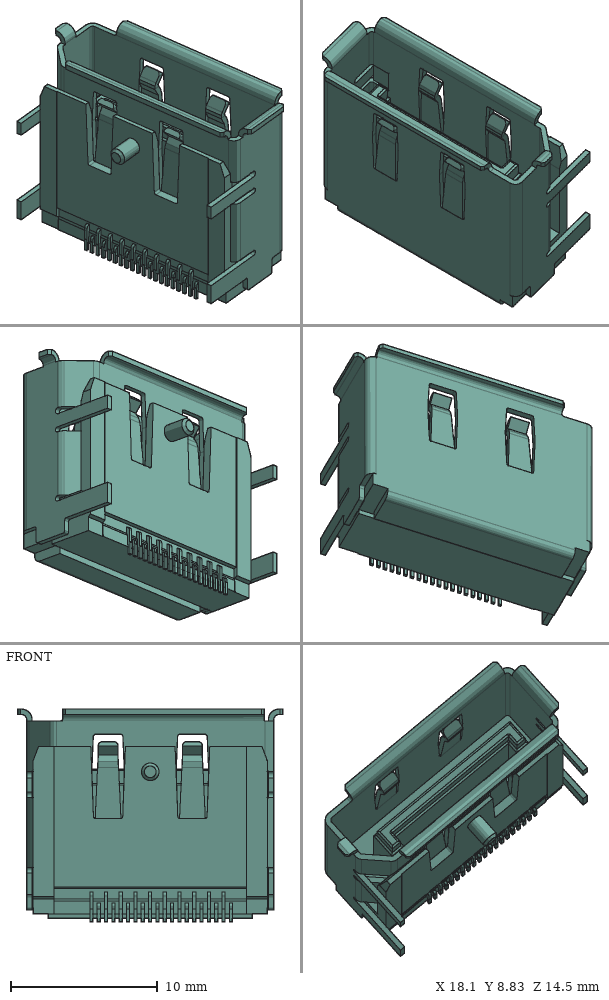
import cadquery as cq
import math

shell_width = 16.86
shell_depth = 5.55
wall = 0.38
bend_radius = 0.6
key_corner = 1.77
half_width = shell_width / 2
rear = shell_depth / 2
front = -rear
rim_z = 13.71
rear_wall_bottom_z = 2.05
skirt_bottom_z = 0.8
skirt_rear_y = rear - 1.5
skirt_front_y = rear - 4.2
skirt_radius = 0.16

top_z = 14.53
lip_reach = 0.62
lip_inner_radius = 0.36
lip_corner = 0.2
long_lip_start = -5.97
long_lip_end = 7.78
lip_root_radius = 0.18
left_tab_rear = rear - 2.17
left_tab_front = rear - 3.35
right_tab_rear = rear - 0.8
right_tab_front = rear - 4.72

tail_length = 2.66
tail_end_y = front - tail_length
upper_tail = (8.85, 9.82)
lower_tail = (1.86, 3.35)
relief_slots = ((3.35, 3.73), (8.48, 8.85), (9.82, 10.28))
slot_end_y = rear - 3.33
slot_inner_x = 6.57

finger_spacing = 5.75
finger_xs = (-finger_spacing / 2, finger_spacing / 2)
window_bottom_z = 7.05
window_wide_z = 10.31
window_top_z = 12.79
window_narrow = 1.99
window_wide = 2.2
window_radius = 0.15
finger_root_width = 1.77
finger_tip_width = 1.37
finger_tip_radius = 0.3
finger_shoulder_z = 11.22
finger_root_overlap = 0.18
finger_lean = 0.2
finger_lean_z = 10.55
finger_bend = 0.3
finger_bend_z = 10.93
finger_hollow = 0.56
finger_hollow_z = 11.38
finger_crest = 0.9
finger_crest_z = (11.16, 11.43)
finger_roll = 0.8
finger_roll_z = 11.65
finger_tip_outer_z = 12.01
finger_tip_inner = 0.27
finger_tip_z = 12.3

housing_half_width = 8.0
housing_bottom_z = 0.55
housing_top_z = 11.98
floor_z = 3.73
plate_back_y = front + 0.22
plate_front_y = front - 0.65
plate_top_back_y = front - 0.29
bevel_bottom_z = 10.38
corner_cut_width = 0.38
corner_cut_height = 1.0
panel_half_width = 6.57
panel_front_y = plate_front_y + 0.05
base_front_y = plate_front_y + 0.2
side_step_z = 1.72
side_step_height = 0.16
groove_top_z = 2.37
groove_top_height = 0.09
groove_bottom_z = 1.57
groove_bottom_height = 0.16
groove_y = base_front_y + 0.07
panel_foot_y = base_front_y - 0.05
cutout_top_width = 2.37
underside_z = 0.94
foot_half_width = 6.96
foot_bottom_z = 0.24
foot_front_y = rear - 2.37
foot_radius = 0.49
foot_gap = 0.22

tongue_left = -5.66
tongue_right = 6.65
tongue_rear_y = rear - 2.23
tongue_front_y = rear - 4.15
tongue_web = 1.05
tongue_leg = 1.07
tongue_step = 0.154
tongue_bevel = 0.09
tongue_shoulder_z = 9.42
tongue_top_z = 10.42

peg_radius = 0.6
peg_z = 10.24
peg_end_y = front - 2.45
peg_chamfer = 0.2

pin_count = 20
first_pin_x = -4.02
last_pin_x = 5.5
pin_pitch = (last_pin_x - first_pin_x) / (pin_count - 1)
pin_width = 0.22
pin_tip_y = front - 0.69
pin_tip_back_y = front - 0.5
pin_kink_z = 0.89
long_pin_z = 2.03
short_pin_z = 1.28
pin_shoulder = 0.25


def box(x_range, y_range, z_range):
    """Box between the given limits on each axis."""
    size = [high - low for low, high in (x_range, y_range, z_range)]
    return cq.Workplane("XY").box(*size, centered=False).translate((x_range[0], y_range[0], z_range[0]))


def side_profile(points, x_start, x_end):
    """Closed (y, z) outline extruded along X."""
    return cq.Workplane("YZ").workplane(offset=x_start).polyline(points).close().extrude(x_end - x_start)


def front_profile(points, y_front, y_rear):
    """Closed (x, z) outline extruded along Y."""
    plane = cq.Workplane("XZ").workplane(offset=-y_rear)
    return plane.polyline(points).close().extrude(y_rear - y_front)


def shell_outline(z_low, z_high, inset=0.0):
    """Solid with the shell's plan outline, optionally offset inwards."""
    side = half_width - inset
    back = rear - inset
    cut = key_corner - inset * (2 - math.sqrt(2))
    points = [(-side, back), (side, back), (side, -back), (-side + cut, -back), (-side, -back + cut)]
    solid = cq.Workplane("XY").workplane(offset=z_low).polyline(points).close().extrude(z_high - z_low)
    return solid.edges("|Z").fillet(bend_radius - inset)


def window(x, y_front, y_rear):
    """Six-sided opening around a spring finger, widest part way up."""
    half_narrow = window_narrow / 2
    half_wide = window_wide / 2
    points = [
        (x - half_narrow, window_bottom_z), (x + half_narrow, window_bottom_z),
        (x + half_wide, window_wide_z), (x + half_narrow, window_top_z),
        (x - half_narrow, window_top_z), (x - half_wide, window_wide_z),
    ]
    opening = front_profile(points, y_front, y_rear)
    return opening.edges("|Y and (>Z or <Z)").fillet(window_radius)


def finger(x):
    """Spring finger in the front wall, leaning in to a contact bend and back out at the tip."""
    root_z = window_bottom_z - finger_root_overlap
    section = [
        (0, root_z), (finger_lean, finger_lean_z), (finger_bend, finger_bend_z),
        (finger_hollow, finger_hollow_z), (0, finger_tip_outer_z), (finger_tip_inner, finger_tip_z),
        (finger_roll, finger_roll_z), (finger_crest, finger_crest_z[1]), (finger_crest, finger_crest_z[0]),
        (finger_lean + wall, finger_lean_z), (wall, root_z),
    ]
    strip = side_profile([(front + offset, z) for offset, z in section], x - half_width, x + half_width)
    half_root = finger_root_width / 2
    half_tip = finger_tip_width / 2
    face = [
        (x - half_root, root_z), (x + half_root, root_z), (x + half_tip, finger_shoulder_z),
        (x + half_tip, finger_tip_z), (x - half_tip, finger_tip_z), (x - half_tip, finger_shoulder_z),
    ]
    mask = front_profile(face, front, 0).edges("|Y and >Z").fillet(finger_tip_radius)
    return strip.intersect(mask)


def lip(length):
    """Flared lip along Y; X = 0 is the outer wall face and +X points outwards."""
    bend_z = top_z - wall - lip_inner_radius
    outer_radius = wall + lip_inner_radius
    diagonal = math.sqrt(0.5)
    under_z = top_z - wall
    profile = (
        cq.Workplane("XZ").workplane(offset=-length / 2)
        .moveTo(-wall, rim_z).lineTo(-wall, bend_z)
        .threePointArc(
            (lip_inner_radius - outer_radius * diagonal, bend_z + outer_radius * diagonal),
            (lip_inner_radius, top_z))
        .lineTo(lip_reach, top_z).lineTo(lip_reach, under_z).lineTo(lip_inner_radius, under_z)
        .threePointArc(
            (lip_inner_radius * (1 - diagonal), bend_z + lip_inner_radius * diagonal),
            (0, bend_z))
        .lineTo(0, rim_z).close()
    )
    return profile.extrude(length).faces(">X").edges("|Z").chamfer(lip_corner)


def make_lips():
    long_lip = lip(long_lip_end - long_lip_start)
    long_center = (long_lip_start + long_lip_end) / 2
    rear_lip = long_lip.rotate((0, 0, 0), (0, 0, 1), 90).translate((long_center, rear, 0))
    front_lip = long_lip.rotate((0, 0, 0), (0, 0, 1), -90).translate((long_center, front, 0))
    right_tab = lip(right_tab_rear - right_tab_front)
    right_tab = right_tab.translate((half_width, (right_tab_rear + right_tab_front) / 2, 0))
    left_tab = lip(left_tab_rear - left_tab_front).rotate((0, 0, 0), (0, 0, 1), 180)
    left_tab = left_tab.translate((-half_width, (left_tab_rear + left_tab_front) / 2, 0))
    return rear_lip.union(front_lip).union(right_tab).union(left_tab)


def make_lip_root():
    """Concave fillet running from the rim up to the left end of the rear lip."""
    start_x = long_lip_start - lip_root_radius
    end_z = rim_z + lip_root_radius
    block = box((start_x, long_lip_start), (rear - wall, rear), (rim_z, end_z))
    hollow = cq.Workplane("XZ").workplane(offset=-rear).center(start_x, end_z).circle(lip_root_radius)
    return block.cut(hollow.extrude(wall))


def make_side_metal():
    """Right side skirt and both tails, flush with the side wall."""
    thickness = (half_width - wall, half_width)
    skirt = box(thickness, (skirt_front_y, skirt_rear_y), (skirt_bottom_z, lower_tail[1]))
    skirt = skirt.edges("|X and <Z").fillet(skirt_radius)
    low = box(thickness, (tail_end_y, slot_end_y), lower_tail)
    high = box(thickness, (tail_end_y, slot_end_y), upper_tail)
    wall_foot = box(thickness, (slot_end_y, rear - bend_radius), (rear_wall_bottom_z, lower_tail[1]))
    metal = skirt.union(low).union(wall_foot).union(high)
    for corner in ((skirt_front_y, lower_tail[0]), (skirt_rear_y, rear_wall_bottom_z)):
        inside_corner = cq.selectors.NearestToPointSelector((half_width - wall / 2, *corner))
        metal = metal.edges("|X").edges(inside_corner).fillet(skirt_radius)
    return metal


def relief_slot(x_range, z_low, z_high):
    """Slot through a side wall, open at the front and fully rounded at its rear end."""
    radius = (z_high - z_low) / 2
    end_center_y = slot_end_y - radius
    slot = box(x_range, (front, end_center_y), (z_low, z_high))
    end = cq.Workplane("YZ").workplane(offset=x_range[0]).center(end_center_y, z_low + radius)
    return slot.union(end.circle(radius).extrude(x_range[1] - x_range[0]))


def make_shell():
    tube = shell_outline(rear_wall_bottom_z, rim_z)
    tube = tube.cut(shell_outline(rear_wall_bottom_z, rim_z, wall))
    for side in (-1, 1):
        x_range = sorted((side * slot_inner_x, side * (half_width + wall)))
        for slot_low, slot_high in relief_slots:
            tube = tube.cut(relief_slot(x_range, slot_low, slot_high))
        for gap in ((rear_wall_bottom_z, lower_tail[1]), upper_tail):
            tube = tube.cut(box(x_range, (front, slot_end_y), gap))
    for x in finger_xs:
        tube = tube.cut(window(x, front - wall, rear + wall))
        tube = tube.union(finger(x)).union(finger(x).mirror("XZ"))
    side_metal = make_side_metal()
    return tube.union(side_metal).union(side_metal.mirror("YZ")).union(make_lips()).union(make_lip_root())


def make_front_plate():
    """Thick wall in front of the shell, with a bevelled top and a grooved lower edge."""
    side_step_low = side_step_z - side_step_height
    outline = [
        (plate_back_y, housing_bottom_z), (base_front_y, housing_bottom_z), (base_front_y, side_step_low),
        (plate_front_y, side_step_z), (plate_front_y, housing_top_z), (plate_top_back_y, housing_top_z),
        (plate_back_y, bevel_bottom_z),
    ]
    plate = side_profile(outline, -housing_half_width, housing_half_width)
    panel = [
        (plate_front_y, housing_top_z), (panel_front_y, housing_top_z), (panel_front_y, groove_top_z),
        (groove_y, groove_top_z - groove_top_height), (groove_y, groove_bottom_z),
        (base_front_y, groove_bottom_z - groove_bottom_height), (base_front_y, housing_bottom_z),
        (plate_front_y, housing_bottom_z),
    ]
    plate = plate.cut(side_profile(panel, -panel_half_width, panel_half_width))
    toe = [
        (base_front_y, groove_bottom_z - groove_bottom_height), (panel_foot_y, housing_bottom_z),
        (base_front_y, housing_bottom_z),
    ]
    plate = plate.union(side_profile(toe, -panel_half_width, panel_half_width))
    for side in (-1, 1):
        edge = side * housing_half_width
        corner = [
            (edge, housing_top_z), (edge - side * corner_cut_width, housing_top_z),
            (edge, housing_top_z - corner_cut_height),
        ]
        plate = plate.cut(front_profile(corner, plate_front_y, plate_back_y))
    for x in finger_xs:
        half_top = cutout_top_width / 2
        half_bottom = window_narrow / 2
        cutout = [
            (x - half_top, housing_top_z), (x + half_top, housing_top_z),
            (x + half_bottom, window_bottom_z), (x - half_bottom, window_bottom_z),
        ]
        opening = front_profile(cutout, plate_front_y, plate_back_y)
        plate = plate.cut(opening.edges("|Y and <Z").fillet(window_radius))
    return plate.cut(shell_outline(floor_z, housing_top_z, wall))


def make_base():
    """Floor of the mating cavity with the rear block and the underside feet."""
    full_width = (-housing_half_width, housing_half_width)
    shell_inside = (wall - half_width, half_width - wall)
    core = shell_outline(underside_z, floor_z, wall)
    core = core.intersect(box(shell_inside, (slot_end_y, rear), (underside_z, floor_z)))
    rear_block = box(shell_inside, (skirt_rear_y, rear), (underside_z, rear_wall_bottom_z))
    front_fill = box(full_width, (plate_back_y, slot_end_y), (underside_z, floor_z))
    front_foot = box(
        full_width, (plate_back_y, foot_front_y - foot_gap), (housing_bottom_z, underside_z))
    rear_foot = box(
        (-foot_half_width, foot_half_width), (foot_front_y, rear), (foot_bottom_z, underside_z))
    rear_foot = rear_foot.edges("|X and >Y and <Z").fillet(foot_radius)
    return core.union(rear_block).union(front_fill).union(front_foot).union(rear_foot)


def tongue_outline(z, inset):
    """U-shaped plan outline of the tongue, offset inwards."""
    left = tongue_left + inset
    right = tongue_right - inset
    leg = tongue_leg - 2 * inset
    rear_y = tongue_rear_y - inset
    front_y = tongue_front_y + inset
    web_y = tongue_rear_y - tongue_web + inset
    points = [
        (left, rear_y), (right, rear_y), (right, front_y), (right - leg, front_y),
        (right - leg, web_y), (left + leg, web_y), (left + leg, front_y), (left, front_y),
    ]
    return cq.Workplane("XY").workplane(offset=z).polyline(points).close()


def make_tongue():
    """Tongue standing on the floor: two tiers, each bevelled along its top edge."""
    taper = math.degrees(math.atan(tongue_step / tongue_bevel))
    tongue = tongue_outline(floor_z, 0).extrude(tongue_shoulder_z - tongue_bevel - floor_z)
    tiers = ((0, tongue_shoulder_z), (tongue_step, tongue_top_z))
    for inset, tier_top_z in tiers:
        bevel = tongue_outline(tier_top_z - tongue_bevel, inset).extrude(tongue_bevel, taper=taper)
        tongue = tongue.union(bevel)
    upper_height = tongue_top_z - tongue_bevel - tongue_shoulder_z
    return tongue.union(tongue_outline(tongue_shoulder_z, tongue_step).extrude(upper_height))


def make_peg():
    peg = cq.Workplane("XZ").workplane(offset=-front).center(0, peg_z).circle(peg_radius)
    return peg.extrude(front - peg_end_y).faces("<Y").chamfer(peg_chamfer)


def pin(x, pin_top_z):
    """Contact pin with a rounded top, kinked slightly forward at its free end."""
    shoulder_z = pin_top_z - pin_shoulder
    shoulder_y = plate_front_y + pin_shoulder
    diagonal = pin_shoulder * math.sqrt(0.5)
    profile = (
        cq.Workplane("YZ").workplane(offset=x - pin_width / 2)
        .moveTo(pin_tip_y, 0).lineTo(pin_tip_back_y, 0).lineTo(pin_tip_back_y, housing_bottom_z)
        .lineTo(groove_y, housing_bottom_z).lineTo(groove_y, pin_top_z).lineTo(shoulder_y, pin_top_z)
        .threePointArc((shoulder_y - diagonal, shoulder_z + diagonal), (plate_front_y, shoulder_z))
        .lineTo(plate_front_y, pin_kink_z).lineTo(pin_tip_y, pin_kink_z).close()
    )
    return profile.extrude(pin_width)


result = make_shell().union(make_base()).union(make_front_plate()).union(make_tongue()).union(make_peg())
for index in range(pin_count):
    pin_top = long_pin_z if index % 2 == 0 else short_pin_z
    result = result.union(pin(first_pin_x + index * pin_pitch, pin_top))